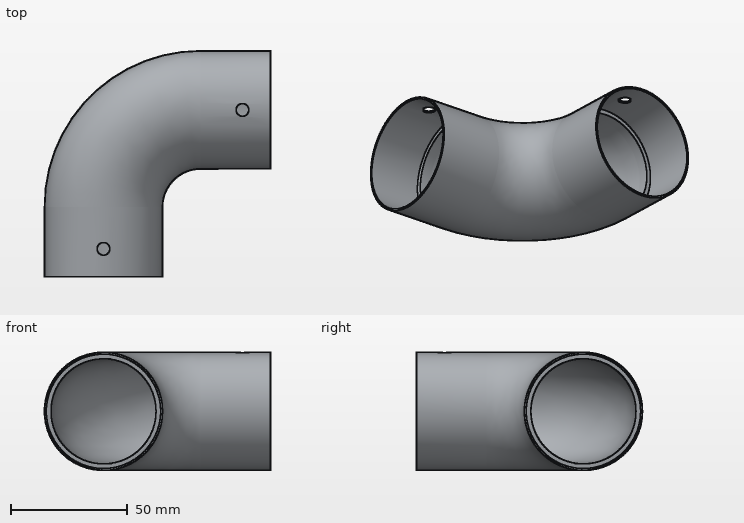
import cadquery as cq

overall_length = 96.8
outer_diameter = 50.6
socket_diameter = 49.0
bore_diameter = 45.0
leg_length = 30.0
socket_depth = 25.0
hole_diameter = 5.4
hole_end_distance = 12.0

outer_radius = outer_diameter / 2
bend_radius = overall_length - leg_length - outer_radius
hole_offset = leg_length - hole_end_distance


def quarter_bend(diameter):
    """Solid quarter-torus joining the two legs."""
    return (
        cq.Workplane("XZ")
        .center(-bend_radius, 0)
        .circle(diameter / 2)
        .revolve(90, (bend_radius, 0, 0), (bend_radius, -1, 0))
    )


def leg_cylinders(diameter, start, end):
    """One cylinder on each leg axis, between two distances from the bend."""
    front_leg = (
        cq.Workplane("XZ", origin=(-bend_radius, -start, 0))
        .circle(diameter / 2)
        .extrude(end - start)
    )
    side_leg = (
        cq.Workplane("YZ", origin=(start, bend_radius, 0))
        .circle(diameter / 2)
        .extrude(end - start)
    )
    return front_leg.union(side_leg)


def swept_elbow(diameter):
    """Solid elbow of one diameter from end to end."""
    return quarter_bend(diameter).union(leg_cylinders(diameter, 0, leg_length))


def screw_holes():
    """One radial hole through the upper wall of each socket."""
    hole_centers = [(-bend_radius, -hole_offset), (hole_offset, bend_radius)]
    return (
        cq.Workplane("XY")
        .pushPoints(hole_centers)
        .circle(hole_diameter / 2)
        .extrude(outer_diameter)
    )


body = swept_elbow(outer_diameter)
bore = swept_elbow(bore_diameter)
sockets = leg_cylinders(socket_diameter, leg_length - socket_depth, leg_length)
result = body.cut(bore).cut(sockets).cut(screw_holes())